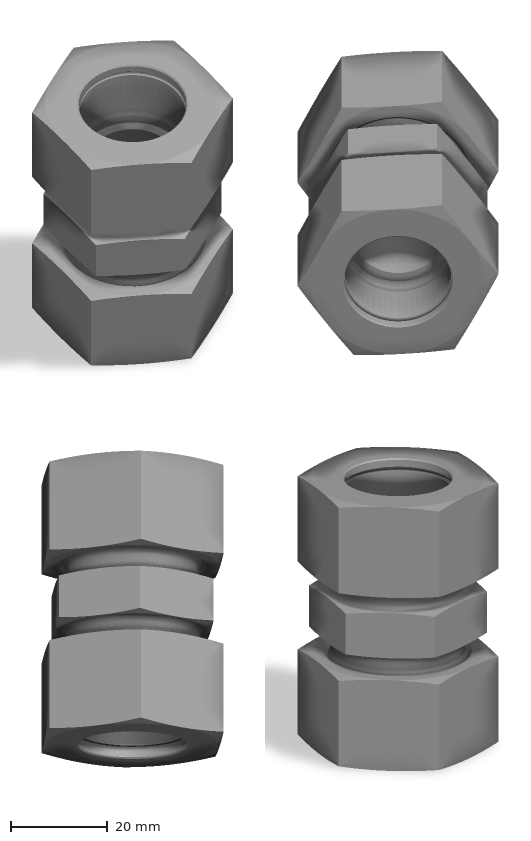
import cadquery as cq
import math


total_length = 58.0
end_z = total_length / 2
nut_height = 19.95
nut_flats = 36.0
nut_bottom_z = end_z - nut_height

body_flats = 32.0
body_hex_height = 10.0
hex_chamfer_angle = 12.0
hex_sides = 6
half_side_angle = 180 / hex_sides

neck_diameter = 27.7
neck_root_diameter = 30.0
neck_fillet = (neck_root_diameter - neck_diameter) / 2
thread_diameter = 29.0
runout_start_z = 8.35
runout_fillet = 1.0
runout_angle = 30.0

tube_diameter = 22.0
through_diameter = 18.0
cone_mouth_diameter = 24.3
cone_half_angle = 12.0
cone_end_depth = 14.4
tube_stop_depth = 16.5
cone_end_z = end_z - cone_end_depth
tube_stop_z = end_z - tube_stop_depth
cone_taper = math.tan(math.radians(cone_half_angle))
body_end_z = cone_end_z + (cone_mouth_diameter - tube_diameter) / 2 / cone_taper

ring_top_depth = 2.7
ring_length = 10.0
ring_diameter = 27.0
ring_top_z = end_z - ring_top_depth
ring_bottom_z = ring_top_z - ring_length

nut_hole_diameter = 22.2
nut_hole_chamfer = 0.3
nut_seat_depth = 1.8
nut_mouth_diameter = 30.55
nut_mouth_depth = (nut_mouth_diameter - thread_diameter) / 2
nut_seat_z = end_z - nut_seat_depth
nut_seat_end_z = nut_seat_z - (ring_diameter - nut_hole_diameter) / 2


def revolve_profile(points):
    """Turn a closed (radius, z) outline about the Z axis."""
    return cq.Workplane("XZ").polyline(points).close().revolve(360, (0, 0, 0), (0, 1, 0))


def chamfered_hexagon(flats, bottom_z, height):
    """Hexagonal prism, flats facing +X and -X, with both ends turned to a cone tangent to the flats."""
    corner_radius = flats / 2 / math.cos(math.radians(half_side_angle))
    drop = (corner_radius - flats / 2) * math.tan(math.radians(hex_chamfer_angle))
    top_z = bottom_z + height
    prism = (
        cq.Workplane("XY", origin=(0, 0, bottom_z))
        .polygon(hex_sides, 2 * corner_radius)
        .extrude(height)
        .rotate((0, 0, 0), (0, 0, 1), half_side_angle)
    )
    turned_blank = revolve_profile([
        (0, bottom_z),
        (flats / 2, bottom_z),
        (corner_radius, bottom_z + drop),
        (corner_radius, top_z - drop),
        (flats / 2, top_z),
        (0, top_z),
    ])
    return prism.intersect(turned_blank)


def body_stub():
    """Upper half of the body's turned outside, with a filleted neck root and a thread run-out cone."""
    hex_top_z = body_hex_height / 2
    neck_radius = neck_diameter / 2
    arc_offset = neck_fillet * (1 - math.sqrt(0.5))

    def runout_arc_point(angle):
        """Point of the arc that turns from the neck, at 0 radians, into the run-out cone."""
        return (
            neck_radius + runout_fillet * (1 - math.cos(angle)),
            runout_start_z + runout_fillet * math.sin(angle),
        )

    cone_angle = math.radians(runout_angle)
    cone_start_radius, cone_start_z = runout_arc_point(cone_angle)
    thread_start_z = cone_start_z + (thread_diameter / 2 - cone_start_radius) / math.tan(cone_angle)
    return (
        cq.Workplane("XZ")
        .moveTo(0, 0)
        .lineTo(neck_root_diameter / 2, 0)
        .lineTo(neck_root_diameter / 2, hex_top_z)
        .threePointArc(
            (neck_radius + arc_offset, hex_top_z + arc_offset),
            (neck_radius, hex_top_z + neck_fillet),
        )
        .lineTo(neck_radius, runout_start_z)
        .threePointArc(runout_arc_point(cone_angle / 2), (cone_start_radius, cone_start_z))
        .lineTo(thread_diameter / 2, thread_start_z)
        .lineTo(thread_diameter / 2, body_end_z)
        .lineTo(0, body_end_z)
        .close()
        .revolve(360, (0, 0, 0), (0, 1, 0))
    )


def body_bore():
    """Upper half of the stepped bore through the body."""
    return revolve_profile([
        (0, 0),
        (through_diameter / 2, 0),
        (through_diameter / 2, tube_stop_z),
        (tube_diameter / 2, tube_stop_z),
        (tube_diameter / 2, cone_end_z),
        (cone_mouth_diameter / 2, body_end_z),
        (0, body_end_z),
    ])


def make_body():
    """Hexagonal body with one stub and one bore at each end."""
    body = chamfered_hexagon(body_flats, -body_hex_height / 2, body_hex_height)
    stub = body_stub()
    bore = body_bore()
    body = body.union(stub).union(stub.mirror("XY"))
    return body.cut(bore).cut(bore.mirror("XY"))


def make_nut():
    """Upper union nut: hexagon with a chamfered hole, conical seat, ring recess and thread bore."""
    hole_radius = nut_hole_diameter / 2
    opening = revolve_profile([
        (0, nut_bottom_z),
        (nut_mouth_diameter / 2, nut_bottom_z),
        (thread_diameter / 2, nut_bottom_z + nut_mouth_depth),
        (thread_diameter / 2, body_end_z),
        (ring_diameter / 2, body_end_z),
        (ring_diameter / 2, nut_seat_end_z),
        (hole_radius, nut_seat_z),
        (hole_radius, end_z - nut_hole_chamfer),
        (hole_radius + nut_hole_chamfer, end_z),
        (0, end_z),
    ])
    return chamfered_hexagon(nut_flats, nut_bottom_z, nut_height).cut(opening)


def make_cutting_ring():
    """Upper cutting ring: its collar fits the nut seat and its tapered nose fits the body cone."""
    tube_radius = tube_diameter / 2
    top_radius = nut_hole_diameter / 2 + nut_seat_z - ring_top_z
    nose_radius = tube_radius + (ring_bottom_z - cone_end_z) * cone_taper
    return revolve_profile([
        (tube_radius, ring_bottom_z),
        (nose_radius, ring_bottom_z),
        (cone_mouth_diameter / 2, body_end_z),
        (ring_diameter / 2, body_end_z),
        (ring_diameter / 2, nut_seat_end_z),
        (top_radius, ring_top_z),
        (tube_radius, ring_top_z),
    ])


body = make_body()
solids = [body.val()]
for upper_part in (make_nut(), make_cutting_ring()):
    solids.append(upper_part.val())
    solids.append(upper_part.mirror("XY").val())

result = cq.Compound.makeCompound(solids)